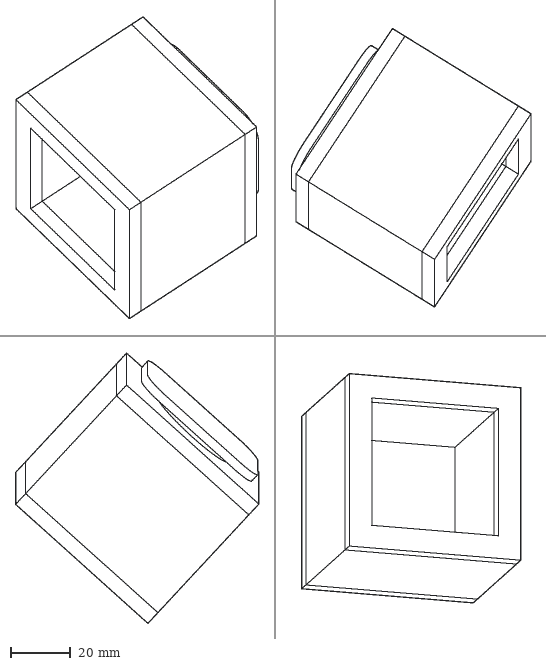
import cadquery as cq

side = 60.0
total_depth = 60.0

wall = 7.85
opening = side - 2 * wall
frame_depth = 5.0
back_depth = 5.0

neck_diameter = 33.0
neck_depth = 2.0
mount_width = 50.0
mount_height = 42.0
mount_depth = 3.0
mount_corner_radius = 8.1

tube_depth = total_depth - frame_depth - back_depth - neck_depth - mount_depth

tube_start = frame_depth
back_start = tube_start + tube_depth
neck_start = back_start + back_depth
mount_start = neck_start + neck_depth


def plane_at(y):
    """Workplane facing -Y, centred on the housing axis, at the given Y."""
    return cq.Workplane("XZ", origin=(0, y, 0))


def square_ring(start, depth):
    """Square ring with the housing's outline and opening."""
    return plane_at(start).rect(side, side).rect(opening, opening).extrude(-depth)


def make_back_plate():
    """Solid plate closing the back of the tube."""
    return plane_at(back_start).rect(side, side).extrude(-back_depth)


def make_mount():
    """Round neck and rounded rectangular plate in one piece."""
    neck = plane_at(neck_start).circle(neck_diameter / 2).extrude(-neck_depth)
    plate = (
        plane_at(mount_start)
        .rect(mount_width, mount_height)
        .extrude(-mount_depth)
        .edges("|Y")
        .fillet(mount_corner_radius)
    )
    return neck.union(plate)


front_frame = square_ring(0, frame_depth)
tube = square_ring(tube_start, tube_depth)
back_plate = make_back_plate()
mount = make_mount()

result = cq.Compound.makeCompound([front_frame.val(), tube.val(), back_plate.val(), mount.val()])